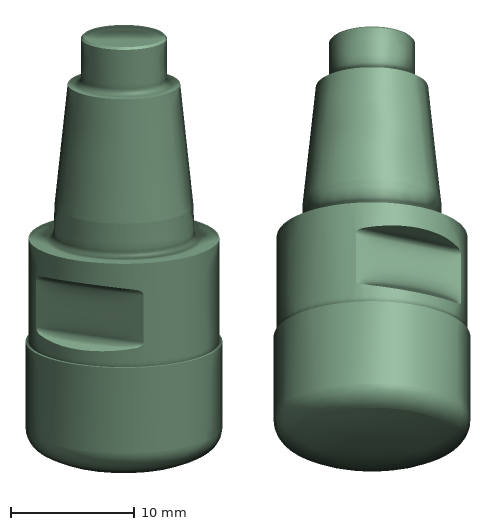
import cadquery as cq
import math

total_height = 35.7
nut_radius = 16.0 / 2
nut_height = 9.95
corner_top = 2.75
corner_radius = 1.95
dome_radius = 7.68

collar_radius = 15.5 / 2
collar_top = 18.67
collar_fillet = 0.43
shank_base_radius = 5.7
taper_base_radius = 5.65
taper_base_height = 21.45
shoulder_radius = 4.57
shoulder_height = 31.65
spigot_radius = 7.0 / 2
spigot_fillet = 0.55
spigot_chamfer = 0.18

slot_center_height = 14.0
flat_distance = 6.0
slot_floor_half_height = 2.35
slot_flare = math.radians(15)
slot_corner_fillet = 0.45


def revolve_profile(profile):
    """Revolve an R-Z profile around the Z axis."""
    return profile.close().revolve(360, (0, 0, 0), (0, 1, 0))


def make_nut():
    corner_center_r = nut_radius - corner_radius
    center_spacing = dome_radius - corner_radius
    dome_angle = math.acos((dome_radius - corner_top) / center_spacing)
    flat_disc_radius = corner_center_r - center_spacing * math.sin(dome_angle)
    mid_corner_angle = (dome_angle + math.pi / 2) / 2

    def dome_point(angle):
        return (
            flat_disc_radius + dome_radius * math.sin(angle),
            dome_radius * (1 - math.cos(angle)),
        )

    corner_middle = (
        corner_center_r + corner_radius * math.sin(mid_corner_angle),
        corner_top - corner_radius * math.cos(mid_corner_angle),
    )
    profile = (
        cq.Workplane("XZ")
        .moveTo(0, 0)
        .lineTo(flat_disc_radius, 0)
        .threePointArc(dome_point(dome_angle / 2), dome_point(dome_angle))
        .threePointArc(corner_middle, (nut_radius, corner_top))
        .lineTo(nut_radius, nut_height)
        .lineTo(0, nut_height)
    )
    return revolve_profile(profile)


def make_holder_blank():
    shank_base_height = collar_top + collar_fillet
    spigot_base_height = shoulder_height + spigot_fillet
    fillet_sag = 1 - math.sqrt(0.5)
    profile = (
        cq.Workplane("XZ")
        .moveTo(0, nut_height)
        .lineTo(collar_radius, nut_height)
        .lineTo(collar_radius, collar_top)
        .lineTo(shank_base_radius + collar_fillet, collar_top)
        .threePointArc(
            (shank_base_radius + collar_fillet * fillet_sag, collar_top + collar_fillet * fillet_sag),
            (shank_base_radius, shank_base_height),
        )
        .lineTo(taper_base_radius, taper_base_height)
        .lineTo(shoulder_radius, shoulder_height)
        .lineTo(spigot_radius + spigot_fillet, shoulder_height)
        .threePointArc(
            (spigot_radius + spigot_fillet * fillet_sag, shoulder_height + spigot_fillet * fillet_sag),
            (spigot_radius, spigot_base_height),
        )
        .lineTo(spigot_radius, total_height - spigot_chamfer)
        .lineTo(spigot_radius - spigot_chamfer, total_height)
        .lineTo(0, total_height)
    )
    return revolve_profile(profile)


def make_slot_cutter(side):
    """Flared slot along X; side is -1 or +1 for the -Y or +Y slot."""
    mouth_distance = nut_radius + 0.35
    mouth_half_height = slot_floor_half_height + (mouth_distance - flat_distance) * math.tan(slot_flare)
    floor_y = side * flat_distance
    mouth_y = side * mouth_distance
    cutter = (
        cq.Workplane("YZ")
        .polyline([
            (floor_y, slot_center_height - slot_floor_half_height),
            (mouth_y, slot_center_height - mouth_half_height),
            (mouth_y, slot_center_height + mouth_half_height),
            (floor_y, slot_center_height + slot_floor_half_height),
        ])
        .close()
        .extrude(nut_radius, both=True)
    )
    floor_face = "<Y" if side > 0 else ">Y"
    return cutter.faces(floor_face).edges("|X").fillet(slot_corner_fillet)


def make_holder():
    holder = make_holder_blank()
    for side in (-1, 1):
        holder = holder.cut(make_slot_cutter(side))
    return holder


nut = make_nut()
holder = make_holder()
result = cq.Compound.makeCompound([nut.val(), holder.val()])